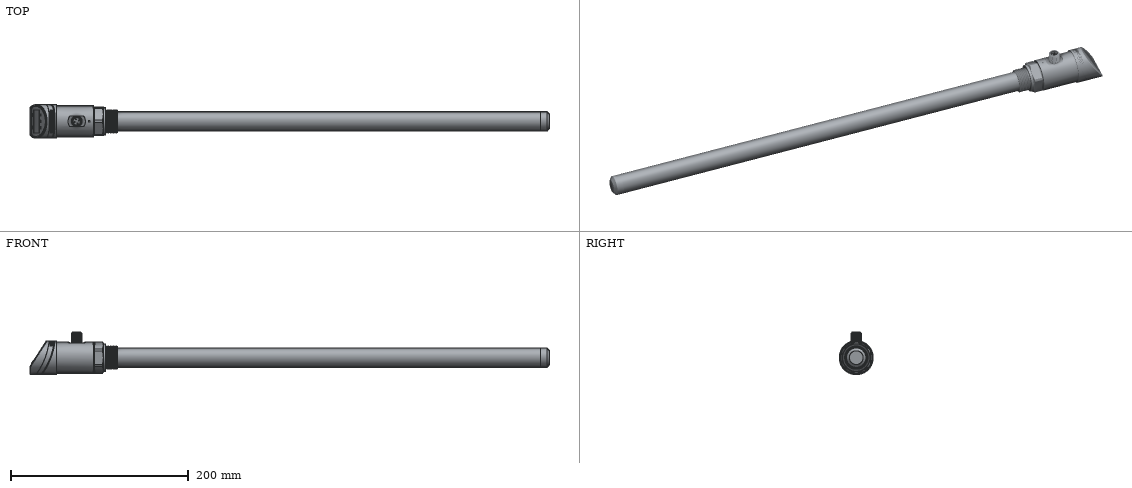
import cadquery as cq
import math

total_length = 585.0

head_radius = 19.0
head_length = 30.2
nose_edge_z = -10.3
face_top_x = 18.8
nose_fillet = 9.0
face_rim_chamfer = 0.6
seam_bottom_x = 7.0
seam_middle_x = 17.3
seam_top_x = 21.8
collar_groove_offset = 5.7
collar_groove_width = 0.9
collar_groove_depth = 0.4
grip_groove_count = 4
grip_groove_pitch = 1.35
grip_groove_width = 0.7
grip_groove_depth = 0.5
grip_first_x = 22.9
grip_half_width = 13.0

panel_radius = 17.0
panel_thickness = 1.5
panel_bottom_z = -7.4
window_width = 26.0
window_height = 11.5
window_thickness = 0.6
window_center_x = 7.4
button_diameter = 3.5
button_height = 0.4
button_spacing = 14.0
button_center_x = 3.2
indicator_diameter = 2.7
indicator_depth = 0.3
indicator_spacing = 7.2
indicator_center_x = 11.8

housing_radius = 35.5 / 2
housing_end_x = 71.4
connector_x = 52.8
spot_face_diameter = 19.5
spot_face_z = 16.7
status_hole_diameter = 2.0
status_hole_depth = 1.0
status_hole_x = 66.8

connector_diameter = 12.0
connector_top_z = 28.69
connector_bore_diameter = 8.5
connector_bore_depth = 8.0
connector_thread_pitch = 1.5
connector_thread_count = 7
connector_thread_depth = 0.6
connector_chamfer = 1.5
pin_count = 4
pin_start_angle = 18
pin_diameter = 1.0
pin_circle_diameter = 5.0
pin_length = 6.5

hex_across_flats = 32.0
hex_start_x = 72.9
hex_end_x = 83.0
hex_chamfer_length = 1.3
fitting_neck_diameter = 29.3
fitting_collar_diameter = 31.0
fitting_collar_end_x = 85.3
thread_end_x = 98.8
thread_diameter = 26.1
thread_root_diameter = 24.0
thread_pitch = 1.8
thread_relief = 0.8

probe_diameter = 22.0
tip_start_x = 574.5
tip_chamfer_length = 3.0
tip_end_diameter = 15.5

face_angle = math.degrees(math.atan2(head_radius - nose_edge_z, face_top_x))
face_slope = (head_radius - nose_edge_z) / face_top_x
face_length = math.hypot(face_top_x, head_radius - nose_edge_z)


def rod(start_x, end_x, diameter):
    """Round bar on the X axis."""
    return cq.Workplane("YZ", origin=(start_x, 0, 0)).circle(diameter / 2).extrude(end_x - start_x)


def face_plane(center_x, lift=0.0):
    """Plane on the slanted face: local x runs up the slope, local z points out of the face."""
    tilt = math.radians(face_angle)
    normal = (-math.sin(tilt), 0, math.cos(tilt))
    center = (
        center_x + lift * normal[0],
        0,
        nose_edge_z + face_slope * center_x + lift * normal[2],
    )
    return cq.Plane(origin=center, xDir=(math.cos(tilt), 0, math.sin(tilt)), normal=normal)


def slope_layer(thickness):
    """Layer of the given thickness lying just under the whole slanted face."""
    return (
        cq.Workplane(face_plane(face_top_x / 2, -thickness))
        .rect(2 * face_length, 4 * head_radius)
        .extrude(thickness)
    )


def behind_seam(shift):
    """Block that reaches from the curved seam, moved along X by shift, to the back of the head."""
    return (
        cq.Workplane("XZ", origin=(0, 2 * head_radius, 0))
        .moveTo(seam_bottom_x + shift, -head_radius)
        .threePointArc((seam_middle_x + shift, 0), (seam_top_x + shift, head_radius))
        .lineTo(2 * head_length, head_radius)
        .lineTo(2 * head_length, -head_radius)
        .close()
        .extrude(4 * head_radius)
    )


def head_shell(depth):
    """Outer skin of the head of the given depth."""
    return rod(0, head_length, 2 * head_radius).cut(rod(0, head_length, 2 * (head_radius - depth)))


def make_display_panel():
    panel = rod(0, head_length, 2 * panel_radius).intersect(slope_layer(panel_thickness))
    below = (
        cq.Workplane("XY", origin=(0, 0, panel_bottom_z))
        .rect(4 * head_length, 4 * head_radius)
        .extrude(-2 * head_radius)
    )
    return panel.cut(below)


def make_window():
    return (
        cq.Workplane(face_plane(window_center_x, -window_thickness))
        .rect(window_height, window_width)
        .extrude(window_thickness)
    )


def make_buttons():
    return (
        cq.Workplane(face_plane(button_center_x))
        .pushPoints([(0, -button_spacing / 2), (0, button_spacing / 2)])
        .circle(button_diameter / 2)
        .extrude(button_height)
    )


def make_indicators():
    return (
        cq.Workplane(face_plane(indicator_center_x, -indicator_depth))
        .pushPoints([(0, -indicator_spacing), (0, 0), (0, indicator_spacing)])
        .circle(indicator_diameter / 2)
        .extrude(indicator_depth)
    )


def make_cap(panel):
    profile = (
        cq.Workplane("XZ", origin=(0, 2 * head_radius, 0))
        .polyline([
            (0, -head_radius),
            (0, nose_edge_z),
            (face_top_x, head_radius),
            (head_length, head_radius),
            (head_length, -head_radius),
        ])
        .close()
        .extrude(4 * head_radius)
    )
    nose_edge = cq.selectors.NearestToPointSelector((0, 0, nose_edge_z))
    profile = profile.edges(nose_edge).fillet(nose_fillet)
    cap = rod(0, head_length, 2 * head_radius).intersect(profile)
    face_center = face_plane(face_top_x / 2).origin.toTuple()
    slanted_face = cap.faces(cq.selectors.NearestToPointSelector(face_center))
    cap = slanted_face.edges("%ELLIPSE").chamfer(face_rim_chamfer)
    return cap.cut(behind_seam(0)).cut(panel)


def make_collar():
    collar = rod(0, head_length, 2 * head_radius).intersect(behind_seam(0))
    groove_band = behind_seam(collar_groove_offset).cut(
        behind_seam(collar_groove_offset + collar_groove_width)
    )
    collar = collar.cut(groove_band.intersect(head_shell(collar_groove_depth)))
    grip_shell = head_shell(grip_groove_depth)
    for index in range(grip_groove_count):
        slot = (
            cq.Workplane("XY", origin=(grip_first_x + index * grip_groove_pitch, 0, 0))
            .rect(grip_groove_width, 2 * grip_half_width)
            .extrude(2 * head_radius)
        )
        collar = collar.cut(slot.intersect(grip_shell))
    return collar


def make_housing():
    housing = rod(head_length, housing_end_x, 2 * housing_radius)
    spot_face = (
        cq.Workplane("XY", origin=(connector_x, 0, spot_face_z))
        .circle(spot_face_diameter / 2)
        .extrude(housing_radius)
    )
    status_hole = (
        cq.Workplane("XY", origin=(status_hole_x, 0, housing_radius - status_hole_depth))
        .circle(status_hole_diameter / 2)
        .extrude(2 * status_hole_depth)
    )
    return housing.cut(spot_face).cut(status_hole)


def make_connector():
    height = connector_top_z - spot_face_z
    base = cq.Workplane("XY", origin=(connector_x, 0, spot_face_z))
    connector = base.circle(connector_diameter / 2).extrude(height)
    connector = connector.faces(">Z").edges().chamfer(connector_chamfer)
    connector = (
        connector.faces(">Z").workplane(centerOption="CenterOfBoundBox")
        .circle(connector_bore_diameter / 2).cutBlind(-connector_bore_depth)
    )
    radius = connector_diameter / 2
    for index in range(connector_thread_count):
        groove_z = connector_thread_pitch * (index + 0.5)
        groove = (
            cq.Workplane("XZ")
            .polyline([
                (radius - connector_thread_depth, groove_z),
                (radius, groove_z - connector_thread_pitch / 2),
                (radius + connector_thread_depth, groove_z),
                (radius, groove_z + connector_thread_pitch / 2),
            ])
            .close()
            .revolve(360, (0, 0, 0), (0, 1, 0))
            .translate((connector_x, 0, spot_face_z))
        )
        connector = connector.cut(groove)
    pins = (
        cq.Workplane("XY", origin=(connector_x, 0, connector_top_z - connector_bore_depth))
        .polarArray(pin_circle_diameter / 2, pin_start_angle, 360, pin_count)
        .circle(pin_diameter / 2)
        .extrude(pin_length)
    )
    return connector.union(pins)


def make_fitting():
    hexagon = (
        cq.Workplane("YZ", origin=(hex_start_x, 0, 0))
        .polygon(6, hex_across_flats / math.cos(math.pi / 6))
        .extrude(hex_end_x - hex_start_x)
        .rotate((0, 0, 0), (1, 0, 0), 90)
    )
    hex_envelope = rod(hex_start_x, hex_end_x, 2 * housing_radius)
    hex_envelope = hex_envelope.faces(">X").edges().chamfer(
        hex_chamfer_length, housing_radius - fitting_collar_diameter / 2
    )
    fitting = hexagon.intersect(hex_envelope)
    fitting = fitting.union(rod(housing_end_x, hex_start_x, fitting_neck_diameter))
    fitting = fitting.union(rod(hex_end_x, fitting_collar_end_x, fitting_collar_diameter))

    crest = thread_diameter / 2
    root = thread_root_diameter / 2
    ridge_start = fitting_collar_end_x + thread_relief
    ridge_count = int((thread_end_x - ridge_start) / thread_pitch)
    outline = cq.Workplane("XY").moveTo(fitting_collar_end_x, 0).lineTo(fitting_collar_end_x, root)
    outline = outline.lineTo(ridge_start, root)
    for index in range(ridge_count):
        ridge_x = ridge_start + index * thread_pitch
        outline = outline.lineTo(ridge_x + thread_pitch / 2, crest).lineTo(ridge_x + thread_pitch, root)
    outline = outline.lineTo(thread_end_x, root).lineTo(thread_end_x, 0).close()
    return fitting.union(outline.revolve(360, (0, 0, 0), (1, 0, 0)))


def make_tip():
    radius = probe_diameter / 2
    return (
        cq.Workplane("XY")
        .polyline([
            (tip_start_x, 0),
            (tip_start_x, radius),
            (total_length - tip_chamfer_length, radius),
            (total_length, tip_end_diameter / 2),
            (total_length, 0),
        ])
        .close()
        .revolve(360, (0, 0, 0), (1, 0, 0))
    )


panel_blank = make_display_panel()
window = make_window()
panel = panel_blank.cut(window).cut(make_indicators()).union(make_buttons())
cap = make_cap(panel_blank)
collar = make_collar()
housing = make_housing()
connector = make_connector()
fitting = make_fitting()
probe = rod(thread_end_x, tip_start_x, probe_diameter)
tip = make_tip()

bodies = [cap, panel, window, collar, housing, connector, fitting, probe, tip]
result = cq.Compound.makeCompound([body.val() for body in bodies])